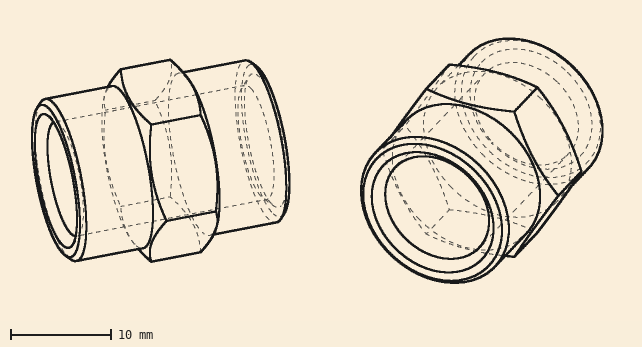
import cadquery as cq
import math

length = 22.0
barrel_diameter = 16.5
bore_diameter = 11.6
hex_flats = 17.0
hex_width = 7.0
end_chamfer = 0.5
countersink_diameter = 13.6
countersink_angle = 45.0
hex_chamfer_angle = 30.0

half_length = length / 2
barrel_radius = barrel_diameter / 2
bore_radius = bore_diameter / 2
countersink_radius = countersink_diameter / 2
countersink_depth = (countersink_radius - bore_radius) / math.tan(math.radians(countersink_angle))
hex_corners = hex_flats / math.cos(math.radians(30))
hex_corner_radius = hex_corners / 2
hex_chamfer_drop = (hex_corner_radius - barrel_radius) * math.tan(math.radians(hex_chamfer_angle))


def revolve_about_y(points):
    """Revolve a closed (radius, y) outline about the Y axis."""
    return cq.Workplane("XY").polyline(points).close().revolve(360, (0, 0, 0), (0, 1, 0))


def make_barrel():
    """Solid cylinder with both outer ends chamfered."""
    cylinder = cq.Workplane("XZ").circle(barrel_radius).extrude(half_length, both=True)
    return cylinder.faces("<Y or >Y").edges().chamfer(end_chamfer)


def make_hexagon():
    """Central wrench hexagon, flats at +Z and -Z, corners turned down by a cone at each end."""
    half_width = hex_width / 2
    prism = cq.Workplane("XZ").polygon(6, hex_corners).extrude(half_width, both=True)
    turned_envelope = revolve_about_y([
        (0, -half_width),
        (barrel_radius, -half_width),
        (hex_corner_radius, -half_width + hex_chamfer_drop),
        (hex_corner_radius, half_width - hex_chamfer_drop),
        (barrel_radius, half_width),
        (0, half_width),
    ])
    return prism.intersect(turned_envelope)


def make_bore():
    """Through bore with a conical countersink at each end."""
    countersink_bottom = half_length - countersink_depth
    return revolve_about_y([
        (0, -half_length),
        (countersink_radius, -half_length),
        (bore_radius, -countersink_bottom),
        (bore_radius, countersink_bottom),
        (countersink_radius, half_length),
        (0, half_length),
    ])


result = make_barrel().union(make_hexagon()).cut(make_bore())